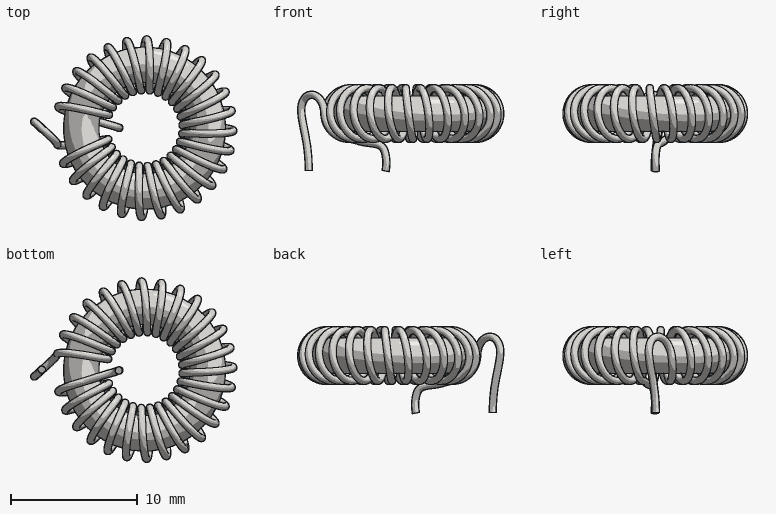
import cadquery as cq
import math

core_centre_radius = 5.0
core_section_radius = 1.4

wire_radius = 0.3
winding_radius = 2.0
turn_count = 26
first_turn_angle = 190.6
turn_pitch = 12.9
last_part_turn = 0.25
points_per_turn = 12

start_lead_points = [
    (-8.1, -0.05, -4.51),
    (-8.12, -0.03, -3.83),
    (-8.32, 0.16, -2.07),
    (-8.66, 0.47, -0.25),
    (-8.66, 0.47, 0.68),
    (-8.34, 0.21, 1.3),
    (-7.85, -0.25, 1.48),
    (-7.25, -0.81, 1.14),
    (-6.97, -1.12, 0.59),
]
start_lead_direction = cq.Vector(0, 0, 1)

end_lead_points = [
    (-3.9, 0.62, -2.23),
    (-2.93, 0.31, -2.38),
    (-2.31, 0.13, -2.64),
    (-2.05, 0.03, -3.25),
    (-2.05, 0.03, -4.55),
]
end_lead_direction = cq.Vector(-0.2, 0, -1).normalized()


def make_core():
    """Plain ring of round section."""
    return cq.Solid.makeTorus(core_centre_radius, core_section_radius)


def winding_point(turn):
    """Point on the wire's centreline after the given number of turns.

    Each turn runs down the outside, inward under the core, up and back over the top.
    """
    around_core = math.radians(360 * turn)
    around_axis = math.radians(first_turn_angle + turn_pitch * turn)
    distance = core_centre_radius + winding_radius * math.cos(around_core)
    height = -winding_radius * math.sin(around_core)
    return (distance * math.cos(around_axis), distance * math.sin(around_axis), height)


def winding_direction(turn):
    """Direction of the wire's centreline after the given number of turns."""
    around_core = math.radians(360 * turn)
    around_axis = math.radians(first_turn_angle + turn_pitch * turn)
    distance = core_centre_radius + winding_radius * math.cos(around_core)
    outward = -winding_radius * math.sin(around_core) * math.radians(360)
    sideways = distance * math.radians(turn_pitch)
    upward = -winding_radius * math.cos(around_core) * math.radians(360)
    return cq.Vector(
        outward * math.cos(around_axis) - sideways * math.sin(around_axis),
        outward * math.sin(around_axis) + sideways * math.cos(around_axis),
        upward,
    ).normalized()


def smooth_edge(points, start_direction, end_direction):
    """Spline through the points that leaves and arrives in the given directions."""
    return cq.Edge.makeSpline(
        [cq.Vector(*point) for point in points],
        tangents=[start_direction, end_direction],
        scale=False,
    )


def turn_edge(start, length):
    """Centreline of one turn, or of a part of a turn."""
    step_count = round(length * points_per_turn)
    points = [winding_point(start + step / points_per_turn) for step in range(step_count + 1)]
    return smooth_edge(points, winding_direction(start), winding_direction(start + length))


def make_winding():
    """One continuous wire: start lead, turns around the core and end lead."""
    winding_end = turn_count + last_part_turn
    start_lead = smooth_edge(
        start_lead_points + [winding_point(0)], start_lead_direction, winding_direction(0)
    )
    turns = [turn_edge(turn, 1) for turn in range(turn_count)]
    part_turn = turn_edge(turn_count, last_part_turn)
    end_lead = smooth_edge(
        [winding_point(winding_end)] + end_lead_points, winding_direction(winding_end), end_lead_direction
    )
    centreline = cq.Wire.assembleEdges([start_lead, *turns, part_turn, end_lead])
    start_plane = cq.Plane(origin=start_lead_points[0], normal=start_lead_direction.toTuple())
    return cq.Workplane(start_plane).circle(wire_radius).sweep(cq.Workplane(centreline))


core = make_core()
winding = make_winding()

result = cq.Compound.makeCompound([core, winding.val()])